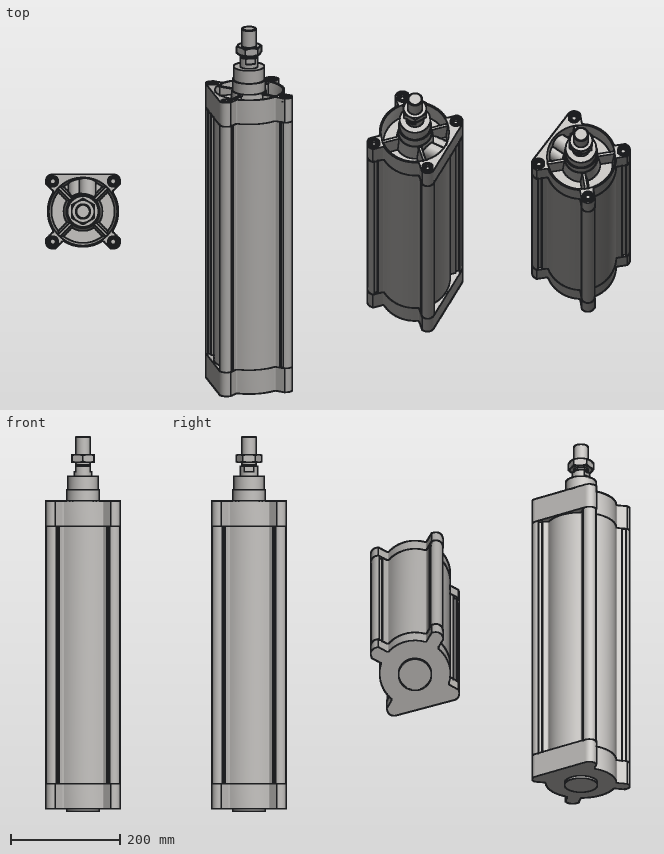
import cadquery as cq
import math


total_height = 685.0
spigot_height = 5.0
cap_height = 46.0
front_cap_top = 567.0
bushing_step_z = 588.0
bushing_top_z = 612.5
shoulder_z = 631.0
flats_bottom_z = 620.5
undercut_length = 3.0
nut_bottom_z = 638.0
nut_height = 14.5

rear_cap_top = spigot_height + cap_height
front_cap_bottom = front_cap_top - cap_height

body_width = 136.0
cap_diameter = 129.5
screw_spacing = 110.0
cap_lug_width = 25.0
lug_fillet = 3.0
barrel_inset = 1.0
barrel_lug_tip_diameter = 25.5
slot_width = 7.0
slot_depth = 4.0

half_width = body_width / 2
screw_reach = screw_spacing / 2
lug_round = half_width - screw_reach
barrel_diameter = cap_diameter - barrel_inset
barrel_lug_width = cap_lug_width - barrel_inset

recess_diameter = 125.0
hub_diameter = 61.5
rib_width = 4.0
rib_drop = 3.5
recess_depth = 34.0
recess_draft = 8.0
port_boss_diameter = 31.0
port_boss_x = 8.0
port_boss_drop = 10.0
cushion_boss_diameter = 27.5
cushion_boss_x = -13.0
cushion_boss_drop = 20.5

screw_bore_diameter = 20.0
screw_head_diameter = 18.0
socket_diameter = 10.0
screw_bore_depth = 7.0
screw_head_chamfer = 2.0

spigot_diameter = 60.0
bushing_diameter = 60.0
bushing_nose_diameter = 56.0
rod_diameter = 32.0
thread_diameter = 27.0
undercut_diameter = 25.0
rod_flat_width = 27.0
thread_chamfer = 1.5
nut_flat_width = 41.0
nut_chamfer_angle = 30.0

QUARTER_TURNS = (0, 90, 180, 270)
DIAGONAL = 45
TOLERANCE = 0.01


def cylinder(diameter, bottom, top):
    return cq.Workplane("XY").workplane(offset=bottom).circle(diameter / 2).extrude(top - bottom)


def prism(outline, bottom, top):
    """Extrude a closed outline given on the XY plane between two heights."""
    return outline.extrude(top - bottom).translate((0, 0, bottom))


def cap_lug_outline():
    """Diagonal lug at the (+X, +Y) corner: rounded tip, short flats and 45 degree sides."""
    offset = cap_lug_width / math.sqrt(2)
    tip = screw_reach + lug_round * math.sqrt(0.5)
    return (
        cq.Workplane("XY")
        .moveTo(0, offset)
        .lineTo(0, 0)
        .lineTo(offset, 0)
        .lineTo(half_width, half_width - offset)
        .lineTo(half_width, screw_reach)
        .threePointArc((tip, tip), (screw_reach, half_width))
        .lineTo(half_width - offset, half_width)
        .close()
    )


def round_with_lugs(diameter, lug, bottom, top):
    """Round column with four corner lugs, filleted where the lugs leave the round."""
    column = cylinder(diameter, bottom, top)
    for angle in QUARTER_TURNS:
        column = column.union(lug.rotate((0, 0, 0), (0, 0, 1), angle))
    roots = [
        edge
        for edge in column.edges("|Z").vals()
        if abs(math.hypot(edge.Center().x, edge.Center().y) - diameter / 2) < TOLERANCE
        and abs(edge.Center().y) > TOLERANCE
    ]
    return column.newObject(roots).fillet(lug_fillet)


def make_cap(bottom, top):
    """End cap: round body with four lugs, and a flat port face between the +Y lugs."""
    cap = round_with_lugs(cap_diameter, prism(cap_lug_outline(), bottom, top), bottom, top)
    port_face_width = 2 * half_width - math.sqrt(2) * cap_lug_width
    port_face = cq.Workplane("XY").rect(port_face_width, half_width, centered=(True, False))
    return cap.union(prism(port_face, bottom, top))


def make_barrel():
    """Slightly slimmer tube whose round-tipped lugs carry a sensor slot along both sides."""
    bottom = rear_cap_top
    top = front_cap_bottom
    lug_reach = screw_reach * math.sqrt(2)
    web = cq.Workplane("XY").rect(lug_reach, barrel_lug_width, centered=(False, True))
    tip = cq.Workplane("XY").center(lug_reach, 0).circle(barrel_lug_tip_diameter / 2)
    lug = prism(web, bottom, top).union(prism(tip, bottom, top))
    slot_side = barrel_lug_tip_diameter / 2
    slots = (
        cq.Workplane("XY")
        .pushPoints([(lug_reach, slot_side), (lug_reach, -slot_side)])
        .rect(slot_width, 2 * slot_depth)
    )
    lug = lug.cut(prism(slots, bottom, top)).rotate((0, 0, 0), (0, 0, 1), DIAGONAL)
    return round_with_lugs(barrel_diameter, lug, bottom, top)


def recess_pocket():
    """Pocket between two diagonal ribs, facing +Y, narrowing toward its floor."""
    outer = recess_diameter / 2
    inner = hub_diameter / 2
    outer_half_angle = math.pi / 4 - math.asin(rib_width / 2 / outer)
    inner_half_angle = math.pi / 4 - math.asin(rib_width / 2 / inner)
    outer_x = outer * math.sin(outer_half_angle)
    outer_y = outer * math.cos(outer_half_angle)
    inner_x = inner * math.sin(inner_half_angle)
    inner_y = inner * math.cos(inner_half_angle)
    return (
        cq.Workplane("XY")
        .workplane(offset=front_cap_top)
        .moveTo(-outer_x, outer_y)
        .threePointArc((0, outer), (outer_x, outer_y))
        .lineTo(inner_x, inner_y)
        .threePointArc((0, inner), (-inner_x, inner_y))
        .close()
        .extrude(-recess_depth, taper=recess_draft)
    )


def rib_clearance():
    """Four bars that lower the rib tops below the cap face, from the hub to the recess wall."""
    bar = (
        cq.Workplane("XY")
        .box(recess_diameter / 2, 2 * rib_width, rib_drop, centered=(False, True, False))
        .translate((0, 0, front_cap_top - rib_drop))
    )
    bars = cq.Workplane("XY")
    for angle in QUARTER_TURNS:
        bars = bars.union(bar.rotate((0, 0, 0), (0, 0, 1), DIAGONAL + angle))
    ring = (
        cylinder(recess_diameter, front_cap_top - rib_drop, front_cap_top)
        .cut(cylinder(hub_diameter, front_cap_top - rib_drop, front_cap_top))
    )
    return bars.intersect(ring)


def boss(diameter, x, drop):
    """Horizontal boss along Y whose crown lies the given drop below the cap face."""
    axis_z = front_cap_top - drop - diameter / 2
    crown = cq.Workplane("XZ").center(x, axis_z).circle(diameter / 2).extrude(-half_width)
    web = (
        cq.Workplane("XY")
        .box(diameter, half_width, recess_depth, centered=(True, False, False))
        .translate((x, 0, axis_z - recess_depth))
    )
    return crown.union(web)


def cut_recess(housing):
    """Cut the four pockets, leaving low ribs between them and two bosses in the +Y one."""
    pocket = recess_pocket()
    port_boss = boss(port_boss_diameter, port_boss_x, port_boss_drop)
    cushion_boss = boss(cushion_boss_diameter, cushion_boss_x, cushion_boss_drop)
    for angle in QUARTER_TURNS:
        turned_pocket = pocket.rotate((0, 0, 0), (0, 0, 1), angle)
        if angle == 0:
            turned_pocket = turned_pocket.cut(port_boss).cut(cushion_boss)
        housing = housing.cut(turned_pocket)
    return housing.cut(rib_clearance())


def cut_screws(housing):
    """Sink a bore at each corner, leaving a chamfered screw head with a socket inside it."""
    bore = cylinder(screw_bore_diameter, front_cap_top - screw_bore_depth, front_cap_top)
    head = cylinder(screw_head_diameter, front_cap_top - screw_bore_depth, front_cap_top)
    head = head.faces(">Z").chamfer(screw_head_chamfer)
    socket = cylinder(socket_diameter, front_cap_top - screw_bore_depth, front_cap_top)
    gap = bore.cut(head).union(socket)
    for x in (-screw_reach, screw_reach):
        for y in (-screw_reach, screw_reach):
            housing = housing.cut(gap.translate((x, y, 0)))
    return housing


def make_housing():
    housing = (
        make_barrel()
        .union(make_cap(spigot_height, rear_cap_top))
        .union(make_cap(front_cap_bottom, front_cap_top))
        .union(cylinder(spigot_diameter, 0, spigot_height))
    )
    housing = cut_screws(cut_recess(housing))
    housing = housing.union(cylinder(bushing_diameter, front_cap_bottom, bushing_step_z))
    housing = housing.union(cylinder(bushing_nose_diameter, bushing_step_z, bushing_top_z))
    return housing.cut(cylinder(rod_diameter, front_cap_bottom, bushing_top_z))


def make_rod():
    """Piston rod with wrench flats on +X and -X, a thread undercut and a threaded end."""
    shank = cylinder(rod_diameter, front_cap_bottom, shoulder_z)
    flats = (
        cq.Workplane("XY")
        .box(rod_flat_width, rod_diameter, shoulder_z - flats_bottom_z, centered=(True, True, False))
        .translate((0, 0, flats_bottom_z))
    )
    shank = shank.intersect(cylinder(rod_diameter, front_cap_bottom, flats_bottom_z).union(flats))
    undercut_top = shoulder_z + undercut_length
    undercut = cylinder(undercut_diameter, shoulder_z, undercut_top)
    thread = cylinder(thread_diameter, undercut_top, total_height).faces(">Z").chamfer(thread_chamfer)
    return shank.union(undercut).union(thread)


def make_nut():
    """Hexagon nut with corners on the Y axis, chamfered on both ends."""
    corner_radius = nut_flat_width / math.sqrt(3)
    face_radius = nut_flat_width / 2
    chamfer_drop = (corner_radius - face_radius) * math.tan(math.radians(nut_chamfer_angle))
    hexagon = cq.Workplane("XY").polygon(6, 2 * corner_radius).extrude(nut_height)
    hexagon = hexagon.rotate((0, 0, 0), (0, 0, 1), 90)
    envelope = (
        cq.Workplane("XZ")
        .moveTo(0, 0)
        .lineTo(face_radius, 0)
        .lineTo(corner_radius, chamfer_drop)
        .lineTo(corner_radius, nut_height - chamfer_drop)
        .lineTo(face_radius, nut_height)
        .lineTo(0, nut_height)
        .close()
        .revolve(360, (0, 0, 0), (0, 1, 0))
    )
    nut = hexagon.intersect(envelope).translate((0, 0, nut_bottom_z))
    return nut.cut(cylinder(thread_diameter, nut_bottom_z, nut_bottom_z + nut_height))


housing = make_housing()
rod = make_rod()
nut = make_nut()

result = cq.Compound.makeCompound([housing.val(), rod.val(), nut.val()])